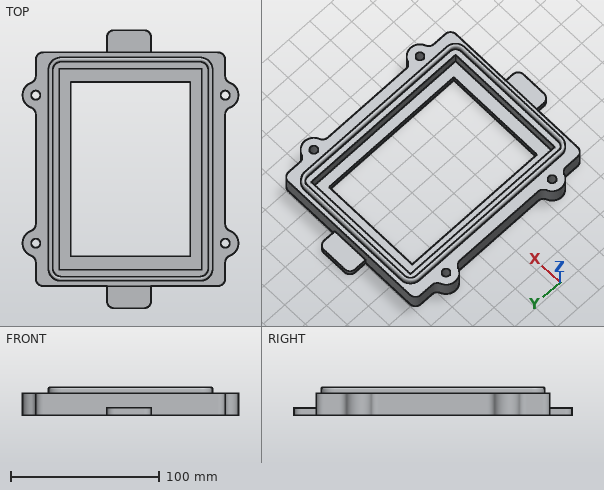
import cadquery as cq
import math

frame_width = 128.0
frame_length = 158.0
frame_height = 15.0
frame_corner_radius = 5.0

pocket_width = 96.0
pocket_length = 136.0
floor_thickness = 5.0
opening_width = 80.5
opening_length = 117.5

rim_centre_width = 108.0
rim_centre_length = 148.0
rim_centre_corner_radius = 7.0
rim_thickness = 3.0
rim_height = 4.0
rim_top_radius = rim_thickness / 2

ear_radius = 9.0
ear_hole_diameter = 6.0
ear_spacing = 100.0
ear_blend_radius = 5.0
ear_root_depth = 4.0

tab_width = 30.0
tab_centre_x = -1.0
tab_reach = 15.0
tab_thickness = 5.0
tab_corner_radius = 5.0


def rounded_block(width, length, height, corner_radius):
    """Upright block centred on the Z axis, standing on Z = 0."""
    block = cq.Workplane("XY").rect(width, length).extrude(height)
    return block.edges("|Z").fillet(corner_radius)


def make_ear(side, centre_y):
    """Ear on the +X (side = 1) or -X (side = -1) face, blended into it by concave arcs."""
    side_x = frame_width / 2
    root_x = side_x - ear_root_depth
    centre_distance = ear_radius + ear_blend_radius
    blend_offset = math.sqrt(centre_distance**2 - ear_blend_radius**2)
    contact_ratio = ear_radius / centre_distance
    contact_x = side_x + ear_blend_radius * contact_ratio
    contact_y = blend_offset * contact_ratio

    angle_to_ear = math.atan2(-blend_offset, -ear_blend_radius)
    middle_angle = (angle_to_ear - math.pi) / 2
    middle_x = side_x + ear_blend_radius * (1 + math.cos(middle_angle))
    middle_y = blend_offset + ear_blend_radius * math.sin(middle_angle)

    def point(x, y):
        return (side * x, centre_y + y)

    return (
        cq.Workplane("XY")
        .moveTo(*point(root_x, -blend_offset))
        .lineTo(*point(side_x, -blend_offset))
        .threePointArc(point(middle_x, -middle_y), point(contact_x, -contact_y))
        .threePointArc(point(side_x + ear_radius, 0), point(contact_x, contact_y))
        .threePointArc(point(middle_x, middle_y), point(side_x, blend_offset))
        .lineTo(*point(root_x, blend_offset))
        .close()
        .extrude(frame_height)
    )


def make_tabs():
    """One thin plate running past both ends of the frame."""
    plate_length = frame_length + 2 * tab_reach
    plate = rounded_block(tab_width, plate_length, tab_thickness, tab_corner_radius)
    return plate.translate((tab_centre_x, 0, 0))


def rim_centre_line():
    """Rounded rectangle at the foot of the rim, starting at the middle of the -Y end."""
    half_width = rim_centre_width / 2
    half_length = rim_centre_length / 2
    radius = rim_centre_corner_radius
    straight_x = half_width - radius
    straight_y = half_length - radius
    return (
        cq.Workplane("XY", origin=(0, 0, frame_height))
        .moveTo(0, -half_length)
        .lineTo(straight_x, -half_length)
        .tangentArcPoint((half_width, -straight_y), relative=False)
        .lineTo(half_width, straight_y)
        .tangentArcPoint((straight_x, half_length), relative=False)
        .lineTo(-straight_x, half_length)
        .tangentArcPoint((-half_width, straight_y), relative=False)
        .lineTo(-half_width, -straight_y)
        .tangentArcPoint((-straight_x, -half_length), relative=False)
        .close()
    )


def make_rim():
    """Rim around the pocket: a strip with a fully round top, swept along its centre line."""
    shoulder = rim_height - rim_top_radius
    section = (
        cq.Workplane("YZ", origin=(0, -rim_centre_length / 2, frame_height))
        .moveTo(-rim_top_radius, 0)
        .lineTo(-rim_top_radius, shoulder)
        .threePointArc((0, rim_height), (rim_top_radius, shoulder))
        .lineTo(rim_top_radius, 0)
        .close()
    )
    return section.sweep(rim_centre_line())


def make_body():
    """Frame with its ears and tabs, before the window and holes are cut."""
    body = rounded_block(frame_width, frame_length, frame_height, frame_corner_radius)
    for side in (-1, 1):
        for centre_y in (-ear_spacing / 2, ear_spacing / 2):
            body = body.union(make_ear(side, centre_y))
    return body.union(make_tabs())


def cut_window(body):
    """Cut the pocket down to the floor and the smaller opening through it."""
    pocket = (
        cq.Workplane("XY", origin=(0, 0, floor_thickness))
        .rect(pocket_width, pocket_length)
        .extrude(frame_height - floor_thickness)
    )
    opening = cq.Workplane("XY").rect(opening_width, opening_length).extrude(frame_height)
    return body.cut(pocket).cut(opening)


def cut_ear_holes(body):
    """Drill a through hole at the centre of every ear."""
    holes = (
        cq.Workplane("XY")
        .rarray(frame_width, ear_spacing, 2, 2)
        .circle(ear_hole_diameter / 2)
        .extrude(frame_height)
    )
    return body.cut(holes)


result = cut_ear_holes(cut_window(make_body())).union(make_rim())